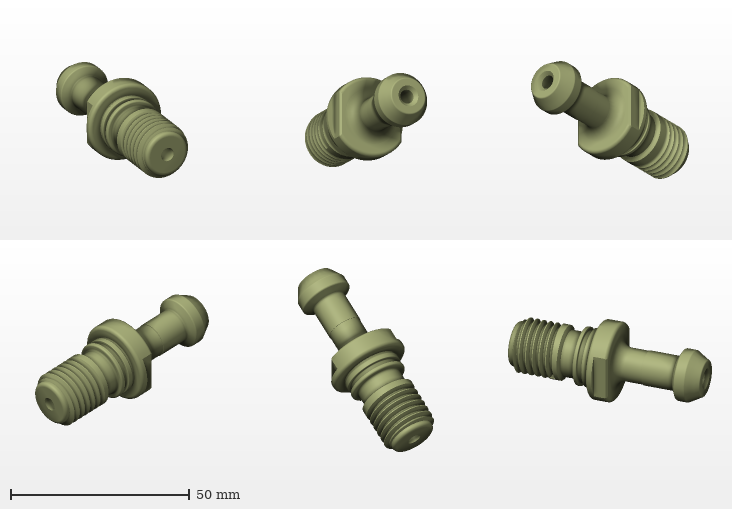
import cadquery as cq
import math

length = 57.0

head_radius = 7.5
head_cone_end = 4.0
head_cone_angle = 30.0
head_rear = 7.0
head_rear_cone_angle = 60.0
shank_radius = 5.0
shank_step = 17.5
neck_radius = 4.85
neck_flange_fillet = 3.0

flange_front = 26.0
flange_rear = 32.0
flange_radius = 11.5
flange_fillet = 1.0
flat_offset = 9.5
flat_end = 30.05
flat_chamfer = 0.55

relief_radius = 8.25
relief_end = 32.5
collar_start = 32.85
collar_end = 36.95
collar_radius = 8.5
groove_front = 34.2
groove_rear = 35.75
groove_radius = 7.45
groove_fillet = 0.15

thread_radius = 8.0
thread_neck_radius = 6.7
thread_neck_end = 41.0
thread_flank_angle = 60.0
tip_radius = 6.5
tip_start = 55.4
tip_fillet = 1.0
thread_pitch = 2.0
thread_root_radius = 6.8
thread_groove_start = 43.7
thread_start_turn = -135.0
thread_crest_flat = thread_pitch / 8
thread_half_angle = 30.0

bore_radius = 2.0
countersink_radius = 3.0

small_fillet = 0.5


def cone_run(radius_change, angle):
    """Axial length of a cone whose wall leans by angle from the axis."""
    return abs(radius_change) / math.tan(math.radians(angle))


def fillet_circles(body, fillet_radius, circles):
    """Round the circular edges given as (axial place, radius) pairs."""
    tolerance = 5.7e-05

    def is_wanted(edge):
        if edge.geomType() != "CIRCLE":
            return False
        place = edge.arcCenter().x
        radius = edge.radius()
        return any(
            abs(place - x) < tolerance and abs(radius - r) < tolerance
            for x, r in circles
        )

    return body.edges().filter(is_wanted).fillet(fillet_radius)


def turned_body():
    face_radius = head_radius - head_cone_end * math.tan(math.radians(head_cone_angle))
    shank_start = head_rear + cone_run(head_radius - shank_radius, head_rear_cone_angle)
    thread_start = thread_neck_end + cone_run(thread_radius - thread_neck_radius, thread_flank_angle)
    thread_end = tip_start - cone_run(thread_radius - tip_radius, thread_flank_angle)
    outline = [
        (0, 0),
        (0, face_radius),
        (head_cone_end, head_radius),
        (head_rear, head_radius),
        (shank_start, shank_radius),
        (shank_step, shank_radius),
        (shank_step, neck_radius),
        (flange_front, neck_radius),
        (flange_front, flange_radius),
        (flange_rear, flange_radius),
        (flange_rear, relief_radius),
        (relief_end, relief_radius),
        (collar_start, collar_radius),
        (groove_front, collar_radius),
        (groove_front, groove_radius),
        (groove_rear, groove_radius),
        (groove_rear, collar_radius),
        (collar_end, collar_radius),
        (collar_end, thread_neck_radius),
        (thread_neck_end, thread_neck_radius),
        (thread_start, thread_radius),
        (thread_end, thread_radius),
        (tip_start, tip_radius),
        (length, tip_radius),
        (length, 0),
    ]
    body = cq.Workplane("XY").polyline(outline).close().revolve(360, (0, 0, 0), (1, 0, 0))

    body = fillet_circles(body, small_fillet, [
        (0, face_radius),
        (head_cone_end, head_radius),
        (head_rear, head_radius),
        (shank_start, shank_radius),
        (collar_end, collar_radius),
        (collar_end, thread_neck_radius),
    ])
    body = fillet_circles(body, neck_flange_fillet, [(flange_front, neck_radius)])
    body = fillet_circles(body, flange_fillet, [
        (flange_front, flange_radius),
        (flange_rear, flange_radius),
    ])
    body = fillet_circles(body, groove_fillet, [
        (x, r)
        for x in (groove_front, groove_rear)
        for r in (groove_radius, collar_radius)
    ])
    return fillet_circles(body, tip_fillet, [(length, tip_radius)])


def wrench_flat_cutter():
    """Material outside the flat on the +Y side, with the chamfer to the flange face."""
    clearance = 0.55
    outer = flange_radius + clearance
    front = flange_front - clearance
    outline = [
        (front, flat_offset - flat_chamfer - clearance),
        (flange_front + flat_chamfer, flat_offset),
        (flat_end, flat_offset),
        (flat_end, outer),
        (front, outer),
    ]
    return cq.Workplane("XY").polyline(outline).close().extrude(flange_radius, both=True)


def thread_groove_cutter():
    """Helical V groove with a flat root, starting inside the thread blank and running off the tip."""
    clearance = 0.15
    slope = math.tan(math.radians(thread_half_angle))
    crest_half = (thread_pitch - thread_crest_flat) / 2
    root_half = crest_half - (thread_radius - thread_root_radius) * slope
    outer_half = crest_half + clearance * slope
    outer_radius = thread_radius + clearance
    outline = [
        (thread_groove_start - root_half, thread_root_radius),
        (thread_groove_start + root_half, thread_root_radius),
        (thread_groove_start + outer_half, outer_radius),
        (thread_groove_start - outer_half, outer_radius),
    ]
    helix = cq.Wire.makeHelix(
        thread_pitch,
        length - thread_groove_start,
        thread_root_radius,
        dir=cq.Vector(1, 0, 0),
    )
    path = helix.translate(cq.Vector(thread_groove_start, 0, 0))
    profile = cq.Workplane("XZ").polyline(outline).close()
    groove = profile.sweep(cq.Workplane(path), isFrenet=True)
    return groove.rotate((0, 0, 0), (1, 0, 0), thread_start_turn)


def bore_cutter():
    countersink_depth = countersink_radius - bore_radius
    outline = [
        (0, 0),
        (0, countersink_radius),
        (countersink_depth, bore_radius),
        (length, bore_radius),
        (length, 0),
    ]
    return cq.Workplane("XY").polyline(outline).close().revolve(360, (0, 0, 0), (1, 0, 0))


flat_cutter = wrench_flat_cutter()
result = (
    turned_body()
    .cut(flat_cutter)
    .cut(flat_cutter.mirror("XZ"))
    .cut(thread_groove_cutter())
    .cut(bore_cutter())
)